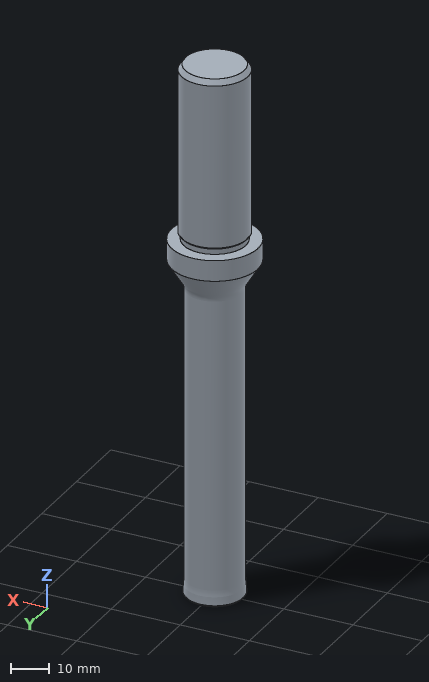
import cadquery as cq
import math

TOTAL_LENGTH = 154.5

COLLAR_RADIUS = 12.5
COLLAR_TOP = 103.5
COLLAR_HEIGHT = 6.0
CONE_HEIGHT = 6.2
CONE_END_RADIUS = 8.7

SHANK_RADIUS = 8.0
TIP_RADIUS = 8.3
TIP_BAND_TOP_RADIUS = 8.2
TIP_BAND_TOP = 3.0
TIP_BLEND_HEIGHT = 1.9
TIP_CHAMFER_HEIGHT = 0.6
TIP_CHAMFER_WIDTH = 0.6

PIN_RADIUS = 9.6
PIN_TOP_CHAMFER_HEIGHT = 1.5
PIN_TOP_CHAMFER_WIDTH = 1.1
NECK_RADIUS = 9.0
NECK_HEIGHT = 1.5
NECK_TAPER_HEIGHT = 0.6


def revolve_about_z(profile):
    """Turn a closed radius-height profile into a solid of revolution."""
    return profile.close().revolve(360, (0, 0, 0), (0, 1, 0))


def make_shank():
    """Lower shank with a flared tip and a collar blended in by a cone and fillet."""
    cone_top = COLLAR_TOP - COLLAR_HEIGHT
    cone_bottom = cone_top - CONE_HEIGHT
    cone_angle = math.atan2(COLLAR_RADIUS - CONE_END_RADIUS, CONE_HEIGHT)
    blend_height = (CONE_END_RADIUS - SHANK_RADIUS) / math.tan(cone_angle / 2)
    blend_middle = (
        SHANK_RADIUS + (TIP_BAND_TOP_RADIUS - SHANK_RADIUS) / 4,
        TIP_BAND_TOP + TIP_BLEND_HEIGHT / 2,
    )
    return revolve_about_z(
        cq.Workplane("XZ")
        .moveTo(0, 0)
        .lineTo(TIP_RADIUS - TIP_CHAMFER_WIDTH, 0)
        .lineTo(TIP_RADIUS, TIP_CHAMFER_HEIGHT)
        .lineTo(TIP_BAND_TOP_RADIUS, TIP_BAND_TOP)
        .threePointArc(blend_middle, (SHANK_RADIUS, TIP_BAND_TOP + TIP_BLEND_HEIGHT))
        .lineTo(SHANK_RADIUS, cone_bottom - blend_height)
        .tangentArcPoint((CONE_END_RADIUS, cone_bottom), relative=False)
        .lineTo(COLLAR_RADIUS, cone_top)
        .lineTo(COLLAR_RADIUS, COLLAR_TOP)
        .lineTo(0, COLLAR_TOP)
    )


def make_pin():
    """Upper pin with a chamfered top and a narrow neck seated on the collar."""
    neck_top = COLLAR_TOP + NECK_HEIGHT
    return revolve_about_z(
        cq.Workplane("XZ")
        .moveTo(0, COLLAR_TOP)
        .lineTo(NECK_RADIUS, COLLAR_TOP)
        .lineTo(NECK_RADIUS, neck_top)
        .lineTo(PIN_RADIUS, neck_top + NECK_TAPER_HEIGHT)
        .lineTo(PIN_RADIUS, TOTAL_LENGTH - PIN_TOP_CHAMFER_HEIGHT)
        .lineTo(PIN_RADIUS - PIN_TOP_CHAMFER_WIDTH, TOTAL_LENGTH)
        .lineTo(0, TOTAL_LENGTH)
    )


shank = make_shank()
pin = make_pin()

result = cq.Compound.makeCompound([shank.val(), pin.val()])